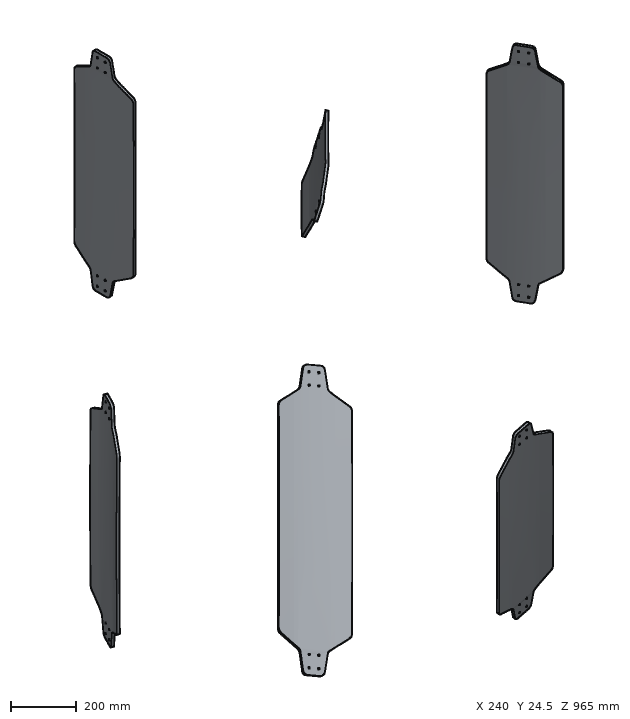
import cadquery as cq
import math

length = 965.0
width = 240.0
thickness = 10.1
bow = 3.0

center_half_width = 53.0
bevel_width = 14.0
center_edge_rise = 2.1
bevel_rise = 1.3
wing_rise = 8.0

tip_half_width = 34.0
neck_half_width = 45.8
neck_from_tip = 76.0
shoulder_from_tip = 126.0
tip_radius = 14.0
neck_radius = 19.0
shoulder_radius = 19.0

hole_diameter = 5.0
hole_half_spacing = 15.9
hole_distances_from_tip = (22.0, 64.0)

half_length = length / 2
half_width = width / 2
cutter_depth = 193.0
pick_margin = 1.0


def bowed_panel():
    """Revolve the cross-section about a far X-parallel axis to bow it along Z."""
    bow_radius = (half_length**2 + bow**2) / (2 * bow)
    end_angle = 1.1 * math.degrees(math.asin(half_length / bow_radius))
    bevel_x = center_half_width + bevel_width
    bevel_y = center_edge_rise + bevel_rise
    wing_y = bevel_y + wing_rise
    section = (
        cq.Workplane("XY")
        .moveTo(-half_width, wing_y)
        .lineTo(-bevel_x, bevel_y)
        .lineTo(-center_half_width, center_edge_rise)
        .threePointArc((0, 0), (center_half_width, center_edge_rise))
        .lineTo(bevel_x, bevel_y)
        .lineTo(half_width, wing_y)
        .lineTo(half_width, wing_y + thickness)
        .lineTo(bevel_x, bevel_y + thickness)
        .lineTo(center_half_width, center_edge_rise + thickness)
        .threePointArc((0, thickness), (-center_half_width, center_edge_rise + thickness))
        .lineTo(-bevel_x, bevel_y + thickness)
        .lineTo(-half_width, wing_y + thickness)
        .close()
    )
    axis_start = (0, -bow_radius, 0)
    axis_end = (1, -bow_radius, 0)
    panel = section.revolve(2 * end_angle, axis_start, axis_end)
    return panel.rotate(axis_start, axis_end, -end_angle)


def deck_outline():
    """Prism along Y with rounded corners at the tips, necks and shoulders."""
    corners = [
        (tip_half_width, half_length, tip_radius),
        (neck_half_width, half_length - neck_from_tip, neck_radius),
        (half_width, half_length - shoulder_from_tip, shoulder_radius),
    ]
    right_side = [(x, z) for x, z, _ in corners]
    right_side += [(x, -z) for x, z in reversed(right_side)]
    left_side = [(-x, z) for x, z in reversed(right_side)]
    prism = (
        cq.Workplane("XZ")
        .polyline(right_side + left_side)
        .close()
        .extrude(cutter_depth / 2, both=True)
    )
    for x, z, radius in corners:
        for side in (-1, 1):
            for end in (-1, 1):
                corner_edges = cq.selectors.BoxSelector(
                    (side * x - pick_margin, -cutter_depth, end * z - pick_margin),
                    (side * x + pick_margin, cutter_depth, end * z + pick_margin),
                )
                prism = prism.edges("|Y").edges(corner_edges).fillet(radius)
    return prism


def bolt_holes():
    points = [
        (side * hole_half_spacing, end * (half_length - distance))
        for distance in hole_distances_from_tip
        for side in (-1, 1)
        for end in (-1, 1)
    ]
    return (
        cq.Workplane("XZ")
        .pushPoints(points)
        .circle(hole_diameter / 2)
        .extrude(cutter_depth / 2, both=True)
    )


result = bowed_panel().intersect(deck_outline()).cut(bolt_holes())